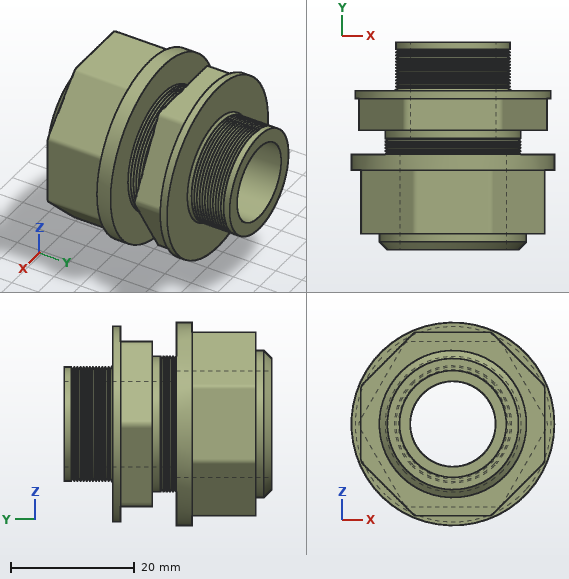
import cadquery as cq
import math


total_length = 33.78
nut_length = 15.55
module = nut_length / 12
bevel = module
collar_length = 2 * module
octagon_length = 8 * module
clamp_thread_length = 2 * module
shoulder_length = module
hexagon_length = 4 * module
body_flange_length = module
end_land_length = 1.15

octagon_front = collar_length
nut_flange_front = octagon_front + octagon_length
nut_back = nut_length
shoulder_front = nut_back + clamp_thread_length
hexagon_front = shoulder_front + shoulder_length
body_flange_front = hexagon_front + hexagon_length
body_flange_back = body_flange_front + body_flange_length
end_land_front = total_length - end_land_length

nut_flange_diameter = 33.05
octagon_across_flats = 29.9
octagon_corner_radius = 1.18
collar_diameter = 23.9
nut_bore_diameter = 17.35
body_flange_diameter = 31.82
hexagon_across_flats = 26.85
hexagon_corner_radius = 1.3
clamp_thread_diameter = 22.1
entry_thread_diameter = 18.58
body_bore_diameter = 13.85

thread_depth = 0.4
clamp_groove_count = 5
clamp_pitch = clamp_thread_length / clamp_groove_count
entry_groove_count = 13
entry_pitch = 0.5


def cylinder(diameter, front, back):
    """Round bar along Y between two stations."""
    return cq.Workplane("XZ", origin=(0, front, 0)).circle(diameter / 2).extrude(front - back)


def prism(sides, across_flats, corner_radius, front, back):
    """Regular prism along Y with flats facing +Z and -Z and rounded long edges."""
    corner_circle = across_flats / math.cos(math.pi / sides)
    corner_turn = 180 / sides if sides % 4 == 0 else 0
    return (
        cq.Workplane("XZ", origin=(0, front, 0))
        .transformed(rotate=(0, 0, corner_turn))
        .polygon(sides, corner_circle)
        .extrude(front - back)
        .edges("|Y")
        .fillet(corner_radius)
    )


def thread(diameter, front, back, groove_count, pitch):
    """Ringed bar whose V grooves start at the back; the last groove wall runs on to the front."""
    crest = diameter / 2
    root = crest - thread_depth
    outline = [(0, back), (crest, back)]
    for groove in range(groove_count):
        root_y = back - (groove + 0.5) * pitch
        if groove > 0:
            outline.append((crest, back - groove * pitch))
        outline.append((root, root_y))
    wall_slope = thread_depth / (pitch / 2)
    outline.append((root + wall_slope * (root_y - front), front))
    outline.append((0, front))
    return cq.Workplane("XY").polyline(outline).close().revolve(360, (0, 0), (0, 1))


def make_nut():
    """Clamping nut: beveled collar, octagon and flange with a plain through bore."""
    collar = cylinder(collar_diameter, 0, octagon_front).faces("<Y").edges().chamfer(bevel)
    octagon = prism(8, octagon_across_flats, octagon_corner_radius, octagon_front, nut_flange_front)
    flange = cylinder(nut_flange_diameter, nut_flange_front, nut_back)
    bore = cylinder(nut_bore_diameter, 0, nut_back)
    return collar.union(octagon).union(flange).cut(bore)


def make_body():
    """Gland body: clamp thread, shoulder, hexagon, flange and entry thread with a through bore."""
    clamp_thread = thread(clamp_thread_diameter, nut_back, shoulder_front, clamp_groove_count, clamp_pitch)
    shoulder = cylinder(clamp_thread_diameter, shoulder_front, hexagon_front)
    hexagon = prism(6, hexagon_across_flats, hexagon_corner_radius, hexagon_front, body_flange_front)
    flange = cylinder(body_flange_diameter, body_flange_front, body_flange_back)
    entry_thread = thread(
        entry_thread_diameter, body_flange_back, end_land_front, entry_groove_count, entry_pitch
    )
    end_land = cylinder(entry_thread_diameter, end_land_front, total_length)
    bore = cylinder(body_bore_diameter, nut_back, total_length)
    front_part = clamp_thread.union(shoulder).union(hexagon)
    back_part = flange.union(entry_thread).union(end_land)
    return front_part.union(back_part).cut(bore)


nut = make_nut()
body = make_body()

result = cq.Compound.makeCompound([nut.val(), body.val()])